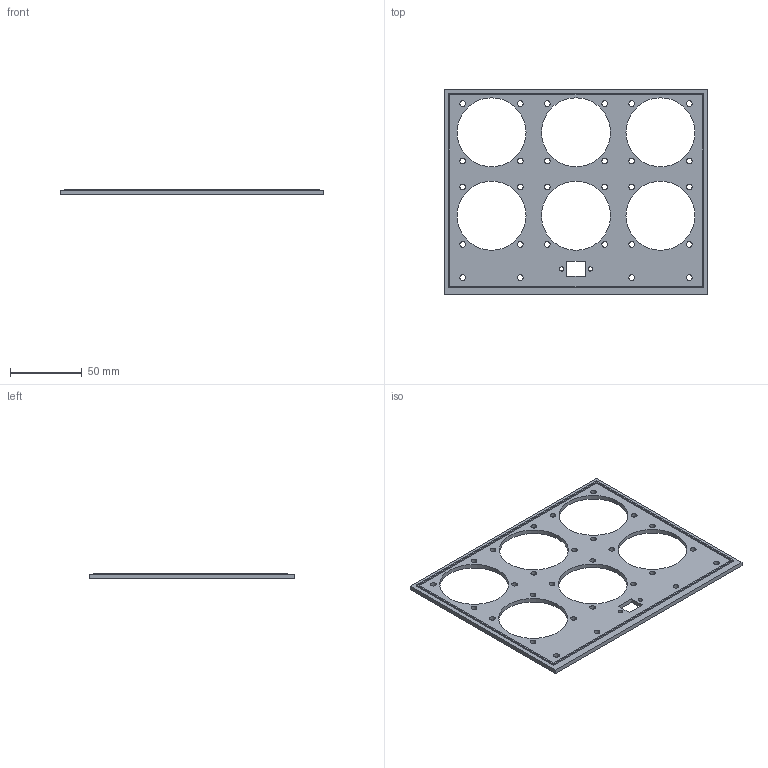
import cadquery as cq

plate_length = 183.5
plate_width = 143.0
total_height = 4.0

lip_height = 1.0
lip_wall = 1.0
lip_margin = 3.0
lip_front_margin = 5.0
base_thickness = total_height - lip_height
lip_length = plate_length - 2 * lip_margin
lip_width = plate_width - lip_margin - lip_front_margin
lip_center_y = (lip_front_margin - lip_margin) / 2

opening_diameter = 48.0
opening_pitch_x = 58.75
opening_pitch_y = 58.0
opening_columns = (-opening_pitch_x, 0.0, opening_pitch_x)
upper_row_y = 41.5
opening_rows = (upper_row_y, upper_row_y - opening_pitch_y)
screw_spacing = 40.0
screw_diameter = 4.0

lower_screw_y = -59.5

window_length = 12.8
window_width = 10.5
window_y = -53.5
window_screw_spacing = 19.8
window_screw_diameter = 3.0


def make_plate():
    """Flat rectangular plate."""
    return cq.Workplane("XY").box(plate_length, plate_width, base_thickness, centered=(True, True, False))


def make_lip():
    """Thin rectangular frame standing on the plate."""
    return (
        cq.Workplane("XY", origin=(0, lip_center_y, base_thickness))
        .rect(lip_length, lip_width)
        .rect(lip_length - 2 * lip_wall, lip_width - 2 * lip_wall)
        .extrude(lip_height)
    )


def through_holes(centers, diameter):
    """Round cutters through the plate at the given centres."""
    return cq.Workplane("XY").pushPoints(centers).circle(diameter / 2).extrude(base_thickness)


def window_cutter():
    """Rectangular cutter for the window."""
    return (
        cq.Workplane("XY")
        .center(0, window_y)
        .rect(window_length, window_width)
        .extrude(base_thickness)
    )


opening_centers = [(x, y) for x in opening_columns for y in opening_rows]
half_spacing = screw_spacing / 2
opening_screws = [
    (x + side_x * half_spacing, y + side_y * half_spacing)
    for x, y in opening_centers
    for side_x in (-1, 1)
    for side_y in (-1, 1)
]
lower_screws = [
    (x + side * half_spacing, lower_screw_y)
    for x in (opening_columns[0], opening_columns[-1])
    for side in (-1, 1)
]
window_screws = [(side * window_screw_spacing / 2, window_y) for side in (-1, 1)]

result = (
    make_plate()
    .union(make_lip())
    .cut(through_holes(opening_centers, opening_diameter))
    .cut(through_holes(opening_screws + lower_screws, screw_diameter))
    .cut(through_holes(window_screws, window_screw_diameter))
    .cut(window_cutter())
)